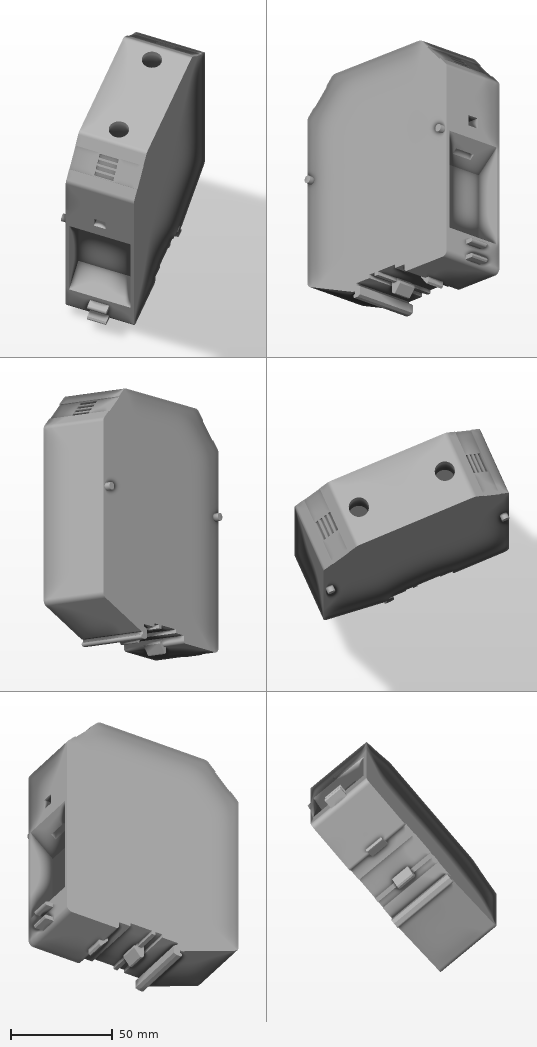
import cadquery as cq
import math

width = 36.0
depth = 100.0
height = 123.7
half_width = width / 2
mid_y = depth / 2

chamfer_leg = 18.4
edge_radius = 3.0
belly_z = 3.5
rail_z = 7.4
rail_relief_z = 9.3
rail_front_y = 30.3
rail_back_y = 64.8
belly_back_y = 67.3
relief_front_y = 37.1
relief_back_y = 55.5
rail_corner_radius = 1.5
back_slope_z = 15.8
tab_front_y = 49.5
tab_width = 2.2
hook_root_z = 8.0

snap_width = 10.0
tongue_thickness = 2.2
upper_tongue_z = 14.1
upper_tongue_length = 4.6
lower_tongue_z = 5.9
lower_tongue_length = 5.0
tongue_chamfer = 0.7
tongue_root = 1.2

pin_diameter = 4.0
pin_length = 3.0
pin_inset = 3.1
pin_z = 71.5

wire_hole_diameter = 10.0
wire_hole_depth = 14.8
wire_hole_spacing = 46.4

window_width = 32.4
window_depth = 13.0
window_bottom_z = 18.7
window_top_z = 70.4
window_floor_z = 26.1
window_ceiling_z = 59.4

ceiling_slot_width = 12.0
ceiling_slot_low_z = 63.3
ceiling_slot_high_z = 65.4

pocket_width = 6.3
pocket_height = 5.5
pocket_depth = 6.2
pocket_z = 79.5

recess_length = 12.2
recess_depth = 0.5
recess_center_z = 114.4
slot_count = 4
slot_pitch = 3.1
slot_width = 2.0
slot_depth = 1.2


def side_prism(outline, prism_width):
    """Extrude a closed YZ outline symmetrically about the middle plane X = 0."""
    return outline.close().extrude(prism_width / 2, both=True)


def side_box(y_low, y_high, z_low, z_high, box_width):
    return cq.Workplane("XY").box(box_width, y_high - y_low, z_high - z_low).translate(
        (0, (y_low + y_high) / 2, (z_low + z_high) / 2)
    )


def make_housing():
    outline = (
        cq.Workplane("YZ")
        .moveTo(0, belly_z)
        .lineTo(rail_front_y, belly_z)
        .lineTo(rail_front_y, rail_z)
        .lineTo(relief_front_y, rail_z)
        .lineTo(relief_front_y, rail_relief_z)
        .lineTo(relief_back_y, rail_relief_z)
        .lineTo(relief_back_y, rail_z)
        .lineTo(rail_back_y, rail_z)
        .lineTo(rail_back_y, belly_z)
        .lineTo(belly_back_y, belly_z)
        .lineTo(depth, back_slope_z)
        .lineTo(depth, height - chamfer_leg)
        .lineTo(depth - chamfer_leg, height)
        .lineTo(chamfer_leg, height)
        .lineTo(0, height - chamfer_leg)
    )
    housing = side_prism(outline, width)
    rounded_corners = [
        (0, belly_z),
        (depth, back_slope_z),
        (depth, height - chamfer_leg),
        (depth - chamfer_leg, height),
        (chamfer_leg, height),
        (0, height - chamfer_leg),
    ]
    for y, z in rounded_corners:
        housing = housing.edges(cq.selectors.NearestToPointSelector((0, y, z))).fillet(edge_radius)
    rail_corner = cq.selectors.NearestToPointSelector((0, rail_front_y, belly_z))
    housing = housing.edges(rail_corner).fillet(rail_corner_radius)
    stop_tab = side_box(tab_front_y, tab_front_y + tab_width, rail_z, rail_relief_z, width)
    return housing.union(stop_tab)


def make_rail_hook():
    """Fixed full-width hook that grips the rear edge of the rail."""
    outline = (
        cq.Workplane("YZ")
        .moveTo(rail_back_y, hook_root_z)
        .lineTo(rail_back_y, 6.2)
        .lineTo(63.3, 5.8)
        .lineTo(62.2, 5.0)
        .lineTo(62.2, 0.7)
        .lineTo(64.0, 0)
        .lineTo(66.3, 0)
        .threePointArc((67.0, 0.9), (66.5, 1.9))
        .lineTo(65.8, 2.1)
        .lineTo(65.8, hook_root_z)
    )
    return side_prism(outline, width)


def make_center_clip():
    """Barbed spring clip under the raised middle of the rail seat."""
    outline = (
        cq.Workplane("YZ")
        .moveTo(52.9, 9.9)
        .lineTo(52.9, 2.8)
        .lineTo(51.8, 1.7)
        .lineTo(50.8, 1.7)
        .lineTo(47.2, 6.0)
        .lineTo(47.2, 7.4)
        .lineTo(48.6, 7.8)
        .lineTo(49.2, 9.9)
    )
    return side_prism(outline, snap_width)


def make_front_latch():
    """Movable latch that grips the front edge of the rail."""
    outline = (
        cq.Workplane("YZ")
        .moveTo(30.3, 6.8)
        .lineTo(30.8, 5.8)
        .lineTo(32.0, 5.7)
        .lineTo(32.0, 4.6)
        .lineTo(28.3, 0.4)
        .lineTo(27.8, 0)
        .lineTo(26.8, 0.9)
        .lineTo(26.8, 6.8)
    )
    return side_prism(outline, snap_width)


def make_upper_tongue():
    """Tongue with a fully rounded tip."""
    half_thickness = tongue_thickness / 2
    tip_start_y = half_thickness - upper_tongue_length
    outline = (
        cq.Workplane("YZ")
        .moveTo(tongue_root, upper_tongue_z - half_thickness)
        .lineTo(tip_start_y, upper_tongue_z - half_thickness)
        .threePointArc(
            (-upper_tongue_length, upper_tongue_z),
            (tip_start_y, upper_tongue_z + half_thickness),
        )
        .lineTo(tongue_root, upper_tongue_z + half_thickness)
    )
    return side_prism(outline, snap_width)


def make_lower_tongue():
    """Tongue with a chamfered tip."""
    half_thickness = tongue_thickness / 2
    tongue = side_box(
        -lower_tongue_length,
        tongue_root,
        lower_tongue_z - half_thickness,
        lower_tongue_z + half_thickness,
        snap_width,
    )
    return tongue.edges("|X and <Y").chamfer(tongue_chamfer)


def make_pins():
    return (
        cq.Workplane("YZ", origin=(-half_width, 0, 0))
        .pushPoints([(pin_inset, pin_z), (depth - pin_inset, pin_z)])
        .circle(pin_diameter / 2)
        .extrude(-pin_length)
    )


def make_wire_holes():
    half_spacing = wire_hole_spacing / 2
    return (
        cq.Workplane("XY", origin=(0, mid_y, height))
        .pushPoints([(0, -half_spacing), (0, half_spacing)])
        .circle(wire_hole_diameter / 2)
        .extrude(-wire_hole_depth)
    )


def make_window():
    outline = (
        cq.Workplane("YZ")
        .moveTo(0, window_bottom_z)
        .lineTo(window_depth, window_floor_z)
        .lineTo(window_depth, window_ceiling_z)
        .lineTo(0, window_top_z)
    )
    return side_prism(outline, window_width)


def make_ceiling_slot():
    ceiling_run = window_depth / (window_top_z - window_ceiling_z)
    front_y = (window_top_z - ceiling_slot_high_z) * ceiling_run
    back_y = (window_top_z - ceiling_slot_low_z) * ceiling_run
    return side_box(front_y, back_y, window_ceiling_z, window_top_z, ceiling_slot_width)


def make_pocket():
    half_height = pocket_height / 2
    return side_box(0, pocket_depth, pocket_z - half_height, pocket_z + half_height, pocket_width)


def make_grip():
    """Recess and grip slots to cut from the front chamfer."""
    recess_center_y = chamfer_leg - (height - recess_center_z)
    slope = cq.Plane(
        origin=(0, recess_center_y, recess_center_z),
        xDir=(1, 0, 0),
        normal=(0, -math.sqrt(0.5), math.sqrt(0.5)),
    )
    grip = cq.Workplane(slope).rect(width, recess_length).extrude(-recess_depth)
    slots = (
        cq.Workplane(slope)
        .rarray(1.2, slot_pitch, 1, slot_count)
        .rect(snap_width, slot_width)
        .extrude(-recess_depth - slot_depth)
    )
    return grip.union(slots)


front_grip = make_grip()
back_grip = front_grip.mirror("XZ", (0, mid_y, 0))

result = make_housing()
for added in (
    make_rail_hook(),
    make_center_clip(),
    make_front_latch(),
    make_upper_tongue(),
    make_lower_tongue(),
    make_pins(),
):
    result = result.union(added)
for removed in (
    make_wire_holes(),
    make_window(),
    make_ceiling_slot(),
    make_pocket(),
    front_grip,
    back_grip,
):
    result = result.cut(removed)